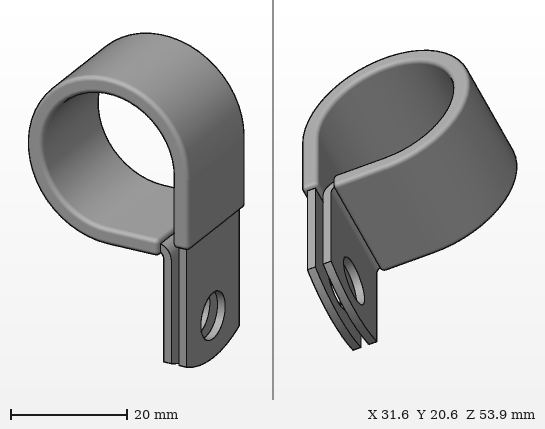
import cadquery as cq
import math

outer_radius = 31.65 / 2
cushion_thickness = 3.1
cushion_width = 20.65
edge_radius = 0.8
upright_tail_end_z = -13.45
level_tail_end_x = 9.9

strap_thickness = 1.5
strap_width = cushion_width - 2 * edge_radius
bend_outer_radius = 2.85
bent_leg_outer_x = 12.0
overall_height = 53.9
tip_z = outer_radius - overall_height
tip_sag = 2.15
hole_diameter = 8.75
hole_z = -30.05

mid_radius = outer_radius - cushion_thickness / 2


def loop_band(thickness, width, upright_end_z, level_end_x):
    """Three-quarter ring about the Y axis, extended by a downward and a +X tail."""
    outer = mid_radius + thickness / 2
    inner = mid_radius - thickness / 2
    diagonal = math.sqrt(0.5)
    return (
        cq.Workplane("XZ")
        .moveTo(outer, upright_end_z)
        .lineTo(outer, 0)
        .threePointArc((-outer * diagonal, outer * diagonal), (0, -outer))
        .lineTo(level_end_x, -outer)
        .lineTo(level_end_x, -inner)
        .lineTo(0, -inner)
        .threePointArc((-inner * diagonal, inner * diagonal), (inner, 0))
        .lineTo(inner, upright_end_z)
        .close()
        .extrude(width / 2, both=True)
    )


def make_cushion():
    """Loop band with its rims and both tail ends rounded."""
    band = loop_band(cushion_thickness, cushion_width, upright_tail_end_z, level_tail_end_x)
    upright_end = cq.NearestToPointSelector((mid_radius, 0, upright_tail_end_z))
    level_end = cq.NearestToPointSelector((level_tail_end_x, 0, -mid_radius))
    rims = band.faces("<Y or >Y").edges()
    end_edges = band.faces(upright_end).edges("|Y").add(band.faces(level_end).edges("|Y"))
    return rims.add(end_edges).fillet(edge_radius)


def make_strap():
    """Loop strap with one straight leg and one leg bent down beside it."""
    bend_x = bent_leg_outer_x - bend_outer_radius
    bend_z = -(mid_radius - strap_thickness / 2) - bend_outer_radius
    bend_inner_radius = bend_outer_radius - strap_thickness
    diagonal = math.sqrt(0.5)
    loop = loop_band(strap_thickness, strap_width, tip_z, bend_x)
    bent_leg = (
        cq.Workplane("XZ")
        .moveTo(bend_x, bend_z + bend_outer_radius)
        .threePointArc(
            (bend_x + bend_outer_radius * diagonal, bend_z + bend_outer_radius * diagonal),
            (bent_leg_outer_x, bend_z),
        )
        .lineTo(bent_leg_outer_x, tip_z)
        .lineTo(bent_leg_outer_x - strap_thickness, tip_z)
        .lineTo(bent_leg_outer_x - strap_thickness, bend_z)
        .threePointArc(
            (bend_x + bend_inner_radius * diagonal, bend_z + bend_inner_radius * diagonal),
            (bend_x, bend_z + bend_inner_radius),
        )
        .close()
        .extrude(strap_width / 2, both=True)
    )
    silhouette = (
        cq.Workplane("YZ")
        .moveTo(-strap_width / 2, outer_radius)
        .lineTo(-strap_width / 2, tip_z + tip_sag)
        .threePointArc((0, tip_z), (strap_width / 2, tip_z + tip_sag))
        .lineTo(strap_width / 2, outer_radius)
        .close()
        .extrude(outer_radius, both=True)
    )
    bolt_hole = (
        cq.Workplane("YZ")
        .center(0, hole_z)
        .circle(hole_diameter / 2)
        .extrude(outer_radius, both=True)
    )
    return loop.union(bent_leg).intersect(silhouette).cut(bolt_hole)


result = make_cushion().union(make_strap())